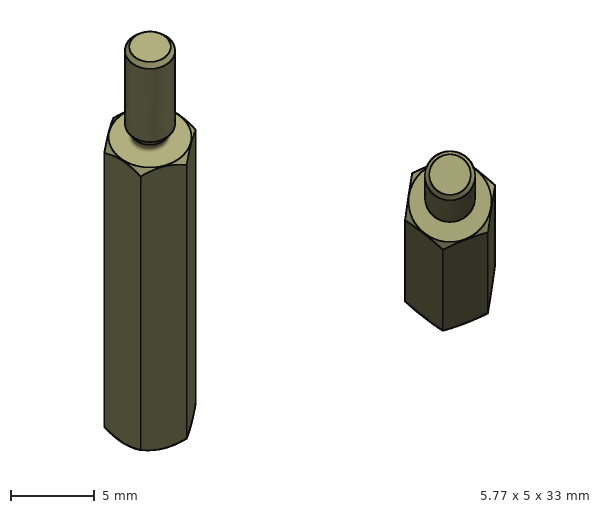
import cadquery as cq
import math

total_length = 33.0
hex_length = 25.0
across_flats = 5.0
across_corners = across_flats / math.cos(math.pi / 6)

end_face_diameter = 4.95
end_chamfer_height = 0.4

stud_diameter = 3.0
tip_diameter = 2.48
tip_chamfer_height = 0.33
neck_diameter = 2.2
root_fillet = 0.23
neck_length = 0.5
runout_height = 0.7


def make_hex_body():
    """Hexagonal bar whose corners are trimmed by a cone at each end."""
    bar = cq.Workplane("XY").polygon(6, across_corners).extrude(hex_length)
    face_radius = end_face_diameter / 2
    corner_radius = across_corners / 2
    envelope = (
        cq.Workplane("XZ")
        .moveTo(0, 0)
        .lineTo(face_radius, 0)
        .lineTo(corner_radius, end_chamfer_height)
        .lineTo(corner_radius, hex_length - end_chamfer_height)
        .lineTo(face_radius, hex_length)
        .lineTo(0, hex_length)
        .close()
        .revolve(360, (0, 0, 0), (0, 1, 0))
    )
    return bar.intersect(envelope)


def make_stud():
    """Stud with a chamfered tip, a conical runout and a filleted neck."""
    neck_radius = neck_diameter / 2
    stud_radius = stud_diameter / 2
    neck_top = hex_length + neck_length
    return (
        cq.Workplane("XZ")
        .moveTo(0, hex_length)
        .lineTo(neck_radius + root_fillet, hex_length)
        .radiusArc((neck_radius, hex_length + root_fillet), root_fillet)
        .lineTo(neck_radius, neck_top)
        .lineTo(stud_radius, neck_top + runout_height)
        .lineTo(stud_radius, total_length - tip_chamfer_height)
        .lineTo(tip_diameter / 2, total_length)
        .lineTo(0, total_length)
        .close()
        .revolve(360, (0, 0, 0), (0, 1, 0))
    )


result = make_hex_body().union(make_stud())